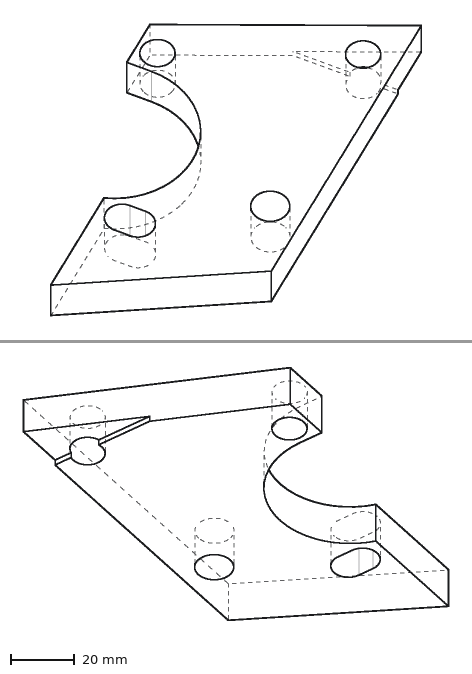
import cadquery as cq
import math

width = 77.0
thickness = 15.0
right_edge_height = 110.0
left_edge_height = 17.0
lower_edge_inset = 17.0
lower_slope = math.radians(30)
upper_slope = math.radians(25)

lower_right_y = (width - lower_edge_inset) * math.tan(lower_slope)
upper_right_y = lower_right_y + right_edge_height
upper_left_y = upper_right_y - width * math.tan(upper_slope)
ledge_y = upper_left_y - left_edge_height

recess_radius = 27.0
recess_center_x = 8.5
recess_center_y = ledge_y - recess_radius
recess_end_y = recess_center_y - math.sqrt(recess_radius**2 - (lower_edge_inset - recess_center_x) ** 2)

bolt_diameter = 11.0
large_hole_diameter = 12.22
right_hole_inset = 11.5
upper_hole_inset = 18.4
large_hole_spacing = 68.0
left_hole_drop = 27.0
slot_drop = 92.0
slot_length = 16.5
left_hole_x = 7.1
slot_x = 28.3

right_hole_x = width - right_hole_inset
upper_hole_y = upper_right_y - upper_hole_inset
large_hole_y = upper_hole_y - large_hole_spacing
left_hole_y = upper_hole_y - left_hole_drop
slot_y = upper_hole_y - slot_drop

step_length = 17.0
step_depth = 2.0


def make_plate():
    """Extrude the plate outline, including the round recess in its left side."""
    return (
        cq.Workplane("XY")
        .moveTo(lower_edge_inset, 0)
        .lineTo(width, lower_right_y)
        .lineTo(width, upper_right_y)
        .lineTo(0, upper_left_y)
        .lineTo(0, ledge_y)
        .lineTo(recess_center_x, ledge_y)
        .threePointArc(
            (recess_center_x + recess_radius, recess_center_y),
            (lower_edge_inset, recess_end_y),
        )
        .close()
        .extrude(thickness)
    )


def round_pin(x, y, diameter):
    """Return a full-height cylinder that cuts a round through hole."""
    return cq.Workplane("XY").center(x, y).circle(diameter / 2).extrude(thickness)


def cut_holes(plate):
    """Cut the three round holes and the slot through the plate."""
    plate = plate.cut(round_pin(right_hole_x, upper_hole_y, bolt_diameter))
    plate = plate.cut(round_pin(left_hole_x, left_hole_y, bolt_diameter))
    plate = plate.cut(round_pin(right_hole_x, large_hole_y, large_hole_diameter))
    slot = cq.Workplane("XY").center(slot_x, slot_y).slot2D(slot_length, bolt_diameter)
    return plate.cut(slot.extrude(thickness))


def cut_step(plate):
    """Relieve the underside across the full width at the upper end."""
    step = cq.Workplane("XY").box(width, step_length, step_depth, centered=False)
    return plate.cut(step.translate((0, upper_right_y - step_length, 0)))


result = cut_step(cut_holes(make_plate()))